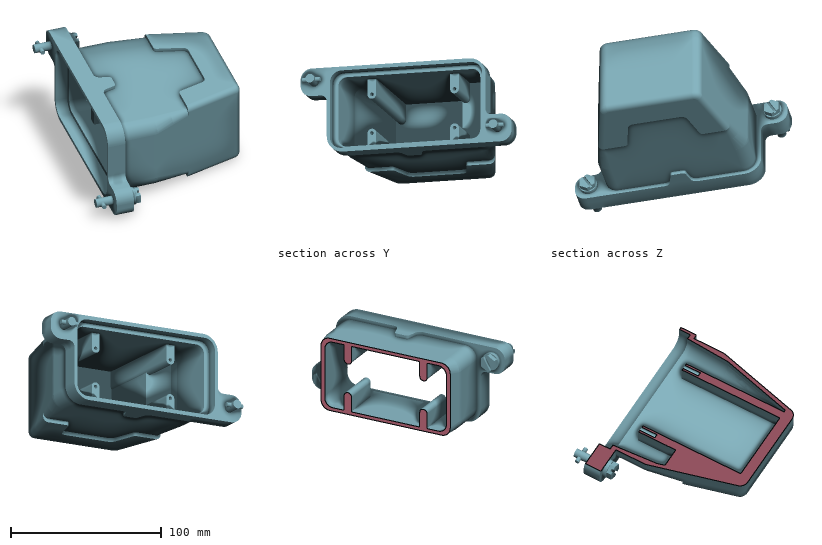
import cadquery as cq

import math


TAPER = math.tan(math.radians(15))
OVERLAP = 1.5

overall_length = 145.0
overall_height = 58.0
half_length = overall_length / 2
half_height = overall_height / 2
flange_half_length = 54.5
flange_thickness = 12.2
flange_corner_radius = 11.2
ear_height = 18.8
ear_corner_radius = 7.5
ear_root_radius = 4.0
ear_inner_z = half_height - ear_height

hood_top = 100.5
hood_half_length = 51.3
hood_half_height = 26.4
hood_corner_radius = 8.7
hood_bend_y = 35.0
hood_bend_radius = 10.2
cap_start = 59.6
cap_edge_radius = 3.6
cap_corner_radius = 6.0

notch_top = 80.6
notch_half_crest = 19.5
notch_crest_radius = 4.4
notch_foot_radius = 2.2
bump_top = 22.5
bump_half_crest = 5.0
bump_crest_radius = 1.9
bump_foot_radius = 4.4
foot_extension = 7.2

rim_half_length = 52.3
rim_corner_radius = 7.8
rim_depth = 8.3
cavity_half_length = 48.7
cavity_half_height = 23.6
cavity_corner_radius = 5.8
cavity_bend_y = 40.7
cavity_bend_half_length = 46.5
cavity_floor = 92.8
block_x = 26.1
block_y = 46.1

post_x = 28.4
post_z = 13.2
post_width = 6.0
post_front = 17.7
post_hole_diameter = 2.5
post_hole_depth = 11.6

screw_x = 63.0
screw_z = half_height - ear_height / 2
screw_tip = -11.6
pin_diameter = 6.0
cross_pin_diameter = 3.0
cross_pin_length = 12.0
cross_pin_y = -7.4
washer_diameter = 12.0
washer_top = 14.8
head_top = 18.4
head_sides = 6
head_across_flats = 10.2
head_slot_width = 1.7
head_slot_depth = 1.6
head_slot_angle = 60


def facing_y(y):
    """XZ workplane at the given Y; extruding by a negative length goes toward +Y."""
    return cq.Workplane("XZ", origin=(0, y, 0))


def rounded_rectangle(half_x, half_z, radius):
    return cq.Sketch().rect(2 * half_x, 2 * half_z).vertices().fillet(radius)


def loft_along_y(y_start, half_x_start, radius_start, y_end, half_x_end, radius_end, half_z):
    """Straight-sided loft between two rounded rectangles of equal height."""
    return (
        facing_y(y_start)
        .placeSketch(
            rounded_rectangle(half_x_start, half_z, radius_start),
            rounded_rectangle(half_x_end, half_z, radius_end).moved(
                cq.Location(cq.Vector(0, 0, y_start - y_end))
            ),
        )
        .loft(ruled=True)
    )


def round_edges(body, direction, points, radius):
    """Fillet the edges parallel to a direction that lie nearest to the given points."""
    for point in points:
        edge = body.edges(direction).edges(cq.selectors.NearestToPointSelector(point))
        body = edge.fillet(radius)
    return body


def make_flange():
    outline = [
        (-half_length, half_height),
        (flange_half_length, half_height),
        (flange_half_length, -ear_inner_z),
        (half_length, -ear_inner_z),
        (half_length, -half_height),
        (-flange_half_length, -half_height),
        (-flange_half_length, ear_inner_z),
        (-half_length, ear_inner_z),
    ]
    flange = facing_y(0).polyline(outline).close().extrude(-flange_thickness)
    for turn in (1, -1):
        x_ear = -turn * half_length
        x_side = turn * flange_half_length
        z_edge = turn * half_height
        z_inner = turn * ear_inner_z
        y_mid = flange_thickness / 2
        ear_corners = [(x_ear, y_mid, z_edge), (x_ear, y_mid, z_inner)]
        flange = round_edges(flange, "|Y", ear_corners, ear_corner_radius)
        flange = round_edges(flange, "|Y", [(-x_side, y_mid, z_inner)], ear_root_radius)
        flange = round_edges(flange, "|Y", [(x_side, y_mid, z_edge)], flange_corner_radius)
    return flange


def hood_half_length_at(y):
    return hood_half_length - TAPER * (y - hood_bend_y)


def make_hood():
    straight = (
        facing_y(0)
        .placeSketch(rounded_rectangle(hood_half_length, hood_half_height, hood_corner_radius))
        .extrude(-hood_bend_y)
    )
    sloped = loft_along_y(
        hood_bend_y, hood_half_length, hood_corner_radius,
        cap_start, hood_half_length_at(cap_start), cap_edge_radius,
        hood_half_height,
    )
    bends = [(side * hood_half_length, hood_bend_y, 0) for side in (-1, 1)]
    lower = round_edges(straight.union(sloped), "|Z", bends, hood_bend_radius)
    return lower.union(make_cap())


def make_cap():
    half_start = hood_half_length_at(cap_start)
    half_end = hood_half_length_at(hood_top)
    outline = [
        (-half_start, cap_start),
        (half_start, cap_start),
        (half_end, hood_top),
        (-half_end, hood_top),
    ]
    cap = (
        cq.Workplane("XY")
        .workplane(offset=-half_height)
        .polyline(outline)
        .close()
        .extrude(overall_height)
        .edges("|Z and >Y")
        .fillet(cap_corner_radius)
    )
    cap = cap.faces("<Z or >Z").edges("not <Y").fillet(cap_edge_radius)
    notch = make_flared_tabs(
        cap_start, notch_top, notch_half_crest, notch_crest_radius, notch_foot_radius
    )
    return cap.cut(notch)


def make_flared_tabs(y_foot, y_crest, half_crest, crest_radius, foot_radius):
    """Mirrored pair of flared trapezoids filling the layer between hood face and full height."""
    half_foot = half_crest + TAPER * (y_crest - y_foot)
    half_skirt = half_foot + foot_extension
    y_skirt = y_foot - OVERLAP
    outline = [
        (-half_skirt, y_skirt),
        (-half_skirt, y_foot),
        (-half_foot, y_foot),
        (-half_crest, y_crest),
        (half_crest, y_crest),
        (half_foot, y_foot),
        (half_skirt, y_foot),
        (half_skirt, y_skirt),
    ]
    tab = (
        cq.Workplane("XY")
        .workplane(offset=hood_half_height)
        .polyline(outline)
        .close()
        .extrude(half_height - hood_half_height)
    )
    z_mid = (hood_half_height + half_height) / 2
    crests = [(side * half_crest, y_crest, z_mid) for side in (-1, 1)]
    feet = [(side * half_foot, y_foot, z_mid) for side in (-1, 1)]
    tab = round_edges(tab, "|Z", crests, crest_radius)
    tab = round_edges(tab, "|Z", feet, foot_radius)
    return tab.union(tab.mirror("XY"))


def make_cavity():
    rim = (
        facing_y(0)
        .placeSketch(rounded_rectangle(rim_half_length, hood_half_height, rim_corner_radius))
        .extrude(-rim_depth)
    )
    drafted = loft_along_y(
        rim_depth, cavity_half_length, cavity_corner_radius,
        cavity_bend_y, cavity_bend_half_length, cavity_corner_radius,
        cavity_half_height,
    )
    floor_half_length = cavity_bend_half_length - TAPER * (cavity_floor - cavity_bend_y)
    sloped = loft_along_y(
        cavity_bend_y, cavity_bend_half_length, cavity_corner_radius,
        cavity_floor, floor_half_length, cavity_corner_radius,
        cavity_half_height,
    )
    block = cq.Workplane("XY").box(
        half_length, hood_top, overall_height, centered=(False, False, True)
    ).translate((block_x, block_y, 0))
    return rim.union(drafted).union(sloped.cut(block))


def make_post(side_x, side_z):
    """Round-nosed post on a broad cavity wall with a blind screw hole in its front end."""
    x = side_x * post_x
    z = side_z * post_z
    web_height = hood_half_height - post_z
    length = cavity_floor + OVERLAP - post_front
    nose = facing_y(post_front).center(x, z).circle(post_width / 2).extrude(-length)
    web = (
        facing_y(post_front)
        .center(x, z + side_z * web_height / 2)
        .rect(post_width, web_height)
        .extrude(-length)
    )
    hole = facing_y(post_front).center(x, z).circle(post_hole_diameter / 2).extrude(-post_hole_depth)
    return nose.union(web).cut(hole)


def make_screw(x, z):
    """Quarter-turn screw: pin with cross pin, washer, and slotted hexagon head."""
    pin = facing_y(screw_tip).circle(pin_diameter / 2).extrude(screw_tip - flange_thickness)
    cross_pin = (
        cq.Workplane("YZ", origin=(-cross_pin_length / 2, cross_pin_y, 0))
        .circle(cross_pin_diameter / 2)
        .extrude(cross_pin_length)
    )
    washer = (
        facing_y(flange_thickness)
        .circle(washer_diameter / 2)
        .extrude(flange_thickness - washer_top)
    )
    across_corners = head_across_flats / math.cos(math.pi / head_sides)
    head = (
        facing_y(washer_top)
        .transformed(rotate=(0, 0, 90))
        .polygon(head_sides, across_corners)
        .extrude(washer_top - head_top)
    )
    slot = (
        facing_y(head_top)
        .transformed(rotate=(0, 0, head_slot_angle))
        .rect(2 * across_corners, head_slot_width)
        .extrude(head_slot_depth)
    )
    screw = pin.union(cross_pin).union(washer).union(head.cut(slot))
    return screw.translate((x, 0, z))


bump = make_flared_tabs(
    flange_thickness, bump_top, bump_half_crest, bump_crest_radius, bump_foot_radius
)
result = make_flange().union(make_hood()).union(bump).cut(make_cavity())

for side_x in (-1, 1):
    for side_z in (-1, 1):
        result = result.union(make_post(side_x, side_z))

for turn in (1, -1):
    result = result.union(make_screw(-turn * screw_x, turn * screw_z))